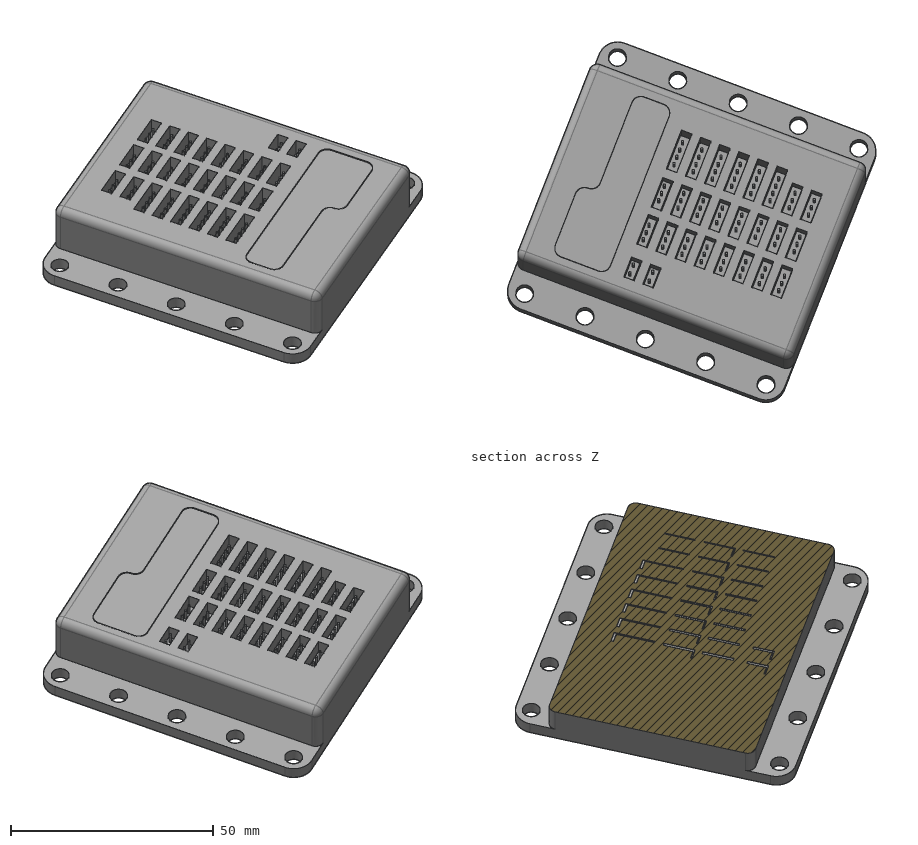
import cadquery as cq

LENGTH = 73.0
PLATE_WIDTH = 72.0
PLATE_THICKNESS = 3.2
PLATE_CORNER_RADIUS = 5.0
HOLE_DIAMETER = 4.4
HOLE_PITCH = 16.0
HOLES_PER_SIDE = 5
HOLE_ROW_SPACING = 63.95

HOUSING_WIDTH = 53.15
TOP_Z = 16.0
HOUSING_RADIUS = 2.05

LABEL_LEFT = 13.7
LABEL_RIGHT = 28.3
LABEL_NECK_RIGHT = 23.6
LABEL_TOP = 22.6
LABEL_BOTTOM = -22.5
LABEL_STEP_Y = 4.0
LABEL_BEND_FLAT = 0.015
LABEL_RADIUS = (LABEL_RIGHT - LABEL_NECK_RIGHT - LABEL_BEND_FLAT) / 2
LABEL_DEPTH = 0.3

COLUMNS = 8
FIRST_WINDOW_X = -27.2
LAST_WINDOW_X = 8.25
WINDOW_PITCH = (LAST_WINDOW_X - FIRST_WINDOW_X) / (COLUMNS - 1)
WINDOW_WIDTH = 2.8
TWO_PIN_LENGTH = 5.3
THREE_PIN_LENGTH = 7.95
SHORT_THREE_PIN_LENGTH = 7.8
FOUR_PIN_LENGTH = 10.45
FRONT_ROW_TOP = -7.5

PIN_DIAMETER = 0.6
PIN_TIP_DEPTH = 0.95
HEADER_DEPTH = 3.65
GAP_DEPTH = 6.6
SIDE_GAP = 0.15
BACK_GAP = 0.3
FRONT_GAP = 0.6
SENSOR_PIN_PITCH = 2.0
POWER_PIN_PITCH = 2.4
PORT_HEADER_DRIFT = 0.06
BUS_HEADER_DRIFT = 0.02

WINDOW_ROWS = [
    dict(
        columns=range(COLUMNS - 2, COLUMNS), length=TWO_PIN_LENGTH, top=21.75,
        pins=2, pin_pitch=POWER_PIN_PITCH, pin_y=18.9,
        drift=PORT_HEADER_DRIFT, back_gap=BACK_GAP, front_gap=0,
    ),
    dict(
        columns=range(COLUMNS), length=THREE_PIN_LENGTH, top=12.85,
        pins=3, pin_pitch=SENSOR_PIN_PITCH, pin_y=8.9,
        drift=PORT_HEADER_DRIFT, back_gap=0, front_gap=0,
    ),
    dict(
        columns=range(COLUMNS), length=THREE_PIN_LENGTH, top=2.85,
        pins=3, pin_pitch=SENSOR_PIN_PITCH, pin_y=-1.7,
        drift=PORT_HEADER_DRIFT, back_gap=BACK_GAP, front_gap=0,
    ),
    dict(
        columns=range(2), length=SHORT_THREE_PIN_LENGTH, top=FRONT_ROW_TOP,
        pins=3, pin_pitch=SENSOR_PIN_PITCH, pin_y=-11.6,
        drift=BUS_HEADER_DRIFT, back_gap=0, front_gap=0,
    ),
    dict(
        columns=range(2, COLUMNS), length=FOUR_PIN_LENGTH, top=FRONT_ROW_TOP,
        pins=4, pin_pitch=SENSOR_PIN_PITCH, pin_y=-12.55,
        drift=BUS_HEADER_DRIFT, back_gap=0, front_gap=FRONT_GAP,
    ),
]


def box_between(x_min, x_max, y_min, y_max, z_min, z_max):
    size = (x_max - x_min, y_max - y_min, z_max - z_min)
    return cq.Workplane("XY").box(*size, centered=False).translate((x_min, y_min, z_min))


def make_plate():
    plate = cq.Workplane("XY").box(LENGTH, PLATE_WIDTH, PLATE_THICKNESS, centered=(True, True, False))
    plate = plate.edges("|Z").fillet(PLATE_CORNER_RADIUS)
    return (
        plate.faces(">Z").workplane()
        .rarray(HOLE_PITCH, HOLE_ROW_SPACING, HOLES_PER_SIDE, 2)
        .hole(HOLE_DIAMETER)
    )


def make_housing():
    housing = (
        cq.Workplane("XY").workplane(offset=PLATE_THICKNESS)
        .box(LENGTH, HOUSING_WIDTH, TOP_Z - PLATE_THICKNESS, centered=(True, True, False))
    )
    return housing.edges("|Z or >Z").fillet(HOUSING_RADIUS)


def make_label_recess():
    outline = [
        (LABEL_LEFT, LABEL_BOTTOM),
        (LABEL_NECK_RIGHT, LABEL_BOTTOM),
        (LABEL_NECK_RIGHT, LABEL_STEP_Y),
        (LABEL_RIGHT, LABEL_STEP_Y),
        (LABEL_RIGHT, LABEL_TOP),
        (LABEL_LEFT, LABEL_TOP),
    ]
    recess = (
        cq.Workplane("XY").workplane(offset=TOP_Z - LABEL_DEPTH)
        .polyline(outline).close().extrude(LABEL_DEPTH)
    )
    return recess.edges("|Z").fillet(LABEL_RADIUS)


def make_window(column, row):
    """Return the cut for one connector window, leaving its header and pins standing."""
    centre_x = FIRST_WINDOW_X + column * WINDOW_PITCH
    left = centre_x - WINDOW_WIDTH / 2
    right = centre_x + WINDOW_WIDTH / 2
    back = row["top"]
    front = back - row["length"]
    header_shift = column * row["drift"]
    gap_floor_z = TOP_Z - GAP_DEPTH
    header_z = TOP_Z - HEADER_DEPTH

    opening = box_between(left, right, front, back, gap_floor_z, TOP_Z)
    header = box_between(
        left + SIDE_GAP + header_shift, right,
        front + row["front_gap"], back - row["back_gap"],
        gap_floor_z, header_z,
    )
    pins = (
        cq.Workplane("XY").workplane(offset=header_z)
        .center(centre_x + header_shift, row["pin_y"])
        .rarray(0.7, row["pin_pitch"], 1, row["pins"])
        .circle(PIN_DIAMETER / 2).extrude(HEADER_DEPTH - PIN_TIP_DEPTH)
    )
    return opening.cut(header).cut(pins)


result = make_plate().union(make_housing()).cut(make_label_recess())
for window_row in WINDOW_ROWS:
    for window_column in window_row["columns"]:
        result = result.cut(make_window(window_column, window_row))